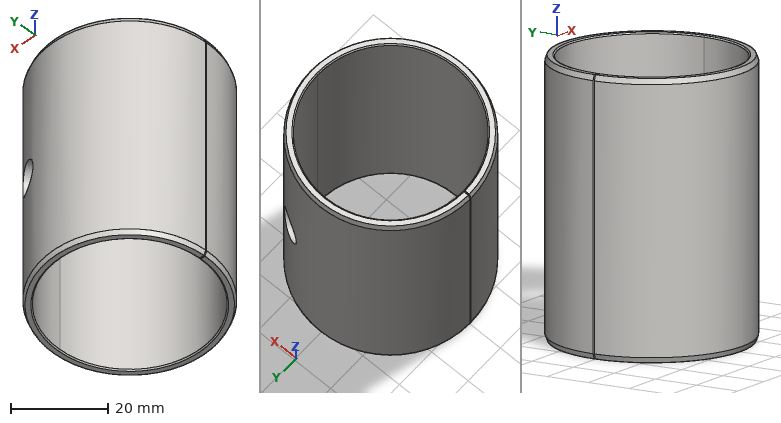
import cadquery as cq
import math

length = 60.0
outer_diameter = 44.0
wall = 2.0
inner_diameter = outer_diameter - 2 * wall
outer_radius = outer_diameter / 2

outer_chamfer_length = 1.2
outer_chamfer_depth = 0.5
inner_chamfer = 0.3
seam_width = 0.3

hole_diameter = 8.0
hole_angle = 59.0
hole_height = length / 2


def sleeve():
    """Revolve the wall section, with chamfers at both ends, around Z."""
    inner_radius = inner_diameter / 2
    section = [
        (inner_radius, inner_chamfer),
        (inner_radius + inner_chamfer, 0),
        (outer_radius - outer_chamfer_depth, 0),
        (outer_radius, outer_chamfer_length),
        (outer_radius, length - outer_chamfer_length),
        (outer_radius - outer_chamfer_depth, length),
        (inner_radius + inner_chamfer, length),
        (inner_radius, length - inner_chamfer),
    ]
    return cq.Workplane("XZ").polyline(section).close().revolve(360, (0, 0), (0, 1))


def seam():
    """Full-length slit through the -X wall, with one face on the XZ plane and the other at +Y."""
    return cq.Workplane("XY").box(outer_diameter, seam_width, length, centered=False).translate(
        (-outer_diameter, 0, 0)
    )


def oil_hole():
    """Radial hole through one side of the wall."""
    angle = math.radians(hole_angle)
    direction = cq.Vector(math.cos(angle), math.sin(angle), 0)
    start = cq.Vector(0, 0, hole_height)
    return cq.Solid.makeCylinder(hole_diameter / 2, outer_diameter, start, direction)


result = sleeve().cut(seam()).cut(oil_hole())